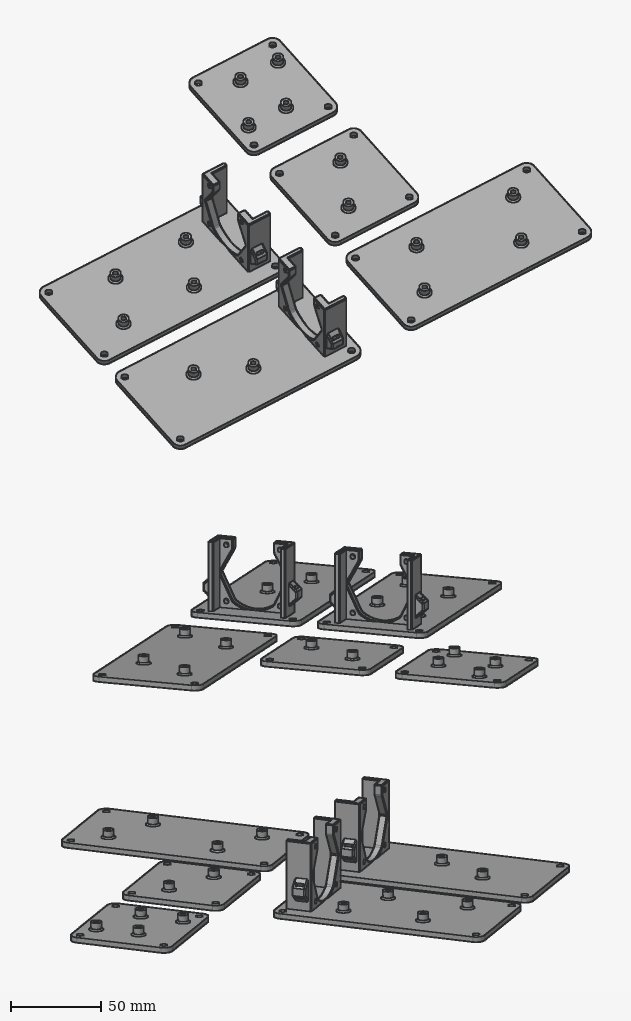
import cadquery as cq
import math

total_depth = 280.0
row_gap = 30.0
plate_width = 65.0
plate_thickness = 3.0
short_depth = 60.0
long_depth = (total_depth - row_gap) / 2
corner_radius = 5.0
mount_hole_inset = 5.0
mount_hole_diameter = 4.0

left_column_gap = 15.0
right_column_gap = 10.0
left_x = 0.0
middle_x = left_x + plate_width + left_column_gap
right_x = middle_x + plate_width + right_column_gap
front_y = 0.0
rear_y = long_depth + row_gap

boss_diameter = 6.0
boss_height = 4.5
flange_diameter = 8.0
flange_height = 0.8
screw_hole_diameter = 2.8
pair_long_spacing = 30.0
pair_short_spacing = pair_long_spacing / 2

bracket_width = 46.0
bracket_height = 40.0
bracket_depth = 15.0
bracket_rear_inset = 5.0
face_thickness = 5.0
wing_thickness = 3.0
cradle_radius = 20.0
cradle_floor = 0.15
mouth_width = 24.0
mouth_lip_height = 6.2
frame_chamfer = 0.5
foot_sink = 1.5
bracket_hole_diameter = 2.8
bracket_hole_spacing_x = 32.0
bracket_hole_inset_z = 4.0
position_tolerance = 0.003

knob_height = 12.0
knob_protrusion = 5.0
knob_root_length = 13.5
knob_tip_length = 4.5
knob_width = 8.0
knob_rear_inset = 5.3
knob_chamfer = 0.8
tunnel_width = 4.2
tunnel_thickness = 1.7
tunnel_inner_radius = 4.8
tunnel_center_offset = 2.0


def base_plate(depth):
    """Rounded plate with four corner holes, lower left corner at the origin."""
    plate = cq.Workplane("XY").box(plate_width, depth, plate_thickness, centered=False)
    plate = plate.edges("|Z").fillet(corner_radius)
    holes = (
        cq.Workplane("XY")
        .center(plate_width / 2, depth / 2)
        .rect(plate_width - 2 * mount_hole_inset, depth - 2 * mount_hole_inset, forConstruction=True)
        .vertices()
        .circle(mount_hole_diameter / 2)
        .extrude(plate_thickness)
    )
    return plate.cut(holes)


def add_bosses(plate, points):
    """Stand a flared boss on the plate at each point, with a hole through boss and plate."""
    full_height = plate_thickness + boss_height
    for x, y in points:
        base = cq.Vector(x, y, plate_thickness)
        flange = cq.Solid.makeCone(flange_diameter / 2, boss_diameter / 2, flange_height, base)
        post = cq.Solid.makeCylinder(boss_diameter / 2, boss_height, base)
        hole = cq.Solid.makeCylinder(screw_hole_diameter / 2, full_height, cq.Vector(x, y, 0))
        plate = plate.union(cq.Workplane(flange)).union(cq.Workplane(post)).cut(cq.Workplane(hole))
    return plate


def boss_pair(center_y, dx, dy):
    """Two bosses placed symmetrically about a point on the centre line of the plate."""
    middle = plate_width / 2
    return [(middle - dx, center_y - dy), (middle + dx, center_y + dy)]


def wide_pair(center_y):
    """Two bosses, wide across X, rear left to front right."""
    return boss_pair(center_y, pair_long_spacing / 2, -pair_short_spacing / 2)


def deep_pair(center_y):
    """Two bosses, long along Y, front left to rear right."""
    return boss_pair(center_y, pair_short_spacing / 2, pair_long_spacing / 2)


def cradle_opening():
    """Hexagon-like opening with a round floor, narrowing to a mouth open at the top."""
    waist_z = cradle_floor + cradle_radius
    floor_edge_x = mouth_width / 2
    floor_edge_z = waist_z - math.sqrt(cradle_radius**2 - floor_edge_x**2)
    lip_z = bracket_height - mouth_lip_height
    return (
        cq.Workplane("XZ")
        .moveTo(mouth_width / 2, bracket_height)
        .lineTo(mouth_width / 2, lip_z)
        .lineTo(cradle_radius, waist_z)
        .lineTo(floor_edge_x, floor_edge_z)
        .threePointArc((0, cradle_floor), (-floor_edge_x, floor_edge_z))
        .lineTo(-cradle_radius, waist_z)
        .lineTo(-mouth_width / 2, lip_z)
        .lineTo(-mouth_width / 2, bracket_height)
        .close()
        .extrude(-face_thickness)
    )


def bracket_frame():
    """U-shaped upright with the cradle cut in, its outward edges chamfered above the plate."""
    full_height = bracket_height + foot_sink
    pocket_width = bracket_width - 2 * wing_thickness
    frame = cq.Workplane("XY", origin=(0, 0, -foot_sink)).box(
        bracket_width, bracket_depth, full_height, centered=(True, False, False)
    )
    pocket = cq.Workplane("XY", origin=(0, face_thickness, -foot_sink)).box(
        pocket_width, bracket_depth, full_height, centered=(True, False, False)
    )
    frame = frame.cut(pocket).cut(cradle_opening())
    sharp_edges = []
    for edge in frame.edges().vals():
        middle = edge.Center()
        below_plate_top = middle.z < 0
        in_pocket_corner = (
            abs(middle.y - face_thickness) < position_tolerance
            and abs(abs(middle.x) - pocket_width / 2) < position_tolerance
        )
        if not below_plate_top and not in_pocket_corner:
            sharp_edges.append(edge)
    return frame.newObject(sharp_edges).chamfer(frame_chamfer)


def knob():
    """Loop on the plane X = 0 facing +X: sloped block with a curved strap tunnel through it."""
    block = (
        cq.Workplane("XZ")
        .moveTo(0, knob_height - knob_root_length / 2)
        .lineTo(knob_protrusion, knob_height - knob_tip_length / 2)
        .lineTo(knob_protrusion, knob_height + knob_tip_length / 2)
        .lineTo(0, knob_height + knob_root_length / 2)
        .close()
        .extrude(-knob_width)
    )
    block = block.faces("<Y or >Y").edges("not <X").chamfer(knob_chamfer)
    tunnel_x = knob_protrusion + tunnel_center_offset
    tunnel_y = (knob_width - tunnel_width) / 2
    tunnel = (
        cq.Workplane("XZ", origin=(tunnel_x, tunnel_y, knob_height))
        .circle(tunnel_inner_radius + tunnel_thickness)
        .circle(tunnel_inner_radius)
        .extrude(-tunnel_width)
    )
    return block.cut(tunnel)


def bracket():
    """Bracket with holes and knobs, centred in X, front face at Y = 0 and plate top at Z = 0."""
    holes = (
        cq.Workplane("XZ", origin=(0, 0, bracket_height / 2))
        .rect(bracket_hole_spacing_x, bracket_height - 2 * bracket_hole_inset_z, forConstruction=True)
        .vertices()
        .circle(bracket_hole_diameter / 2)
        .extrude(-face_thickness)
    )
    knob_y = bracket_depth - knob_rear_inset - knob_width
    right_knob = knob().translate((bracket_width / 2, knob_y, 0))
    return bracket_frame().cut(holes).union(right_knob).union(right_knob.mirror("YZ"))


def add_bracket(plate, depth):
    """Stand the bracket near the rear edge of the plate."""
    face_y = depth - bracket_rear_inset - bracket_depth
    return plate.union(bracket().translate((plate_width / 2, face_y, plate_thickness)))


row_offset = 12.5
short_middle = short_depth / 2
short_four_bosses = wide_pair(short_middle + row_offset) + wide_pair(short_middle - row_offset)
short_four_plate = add_bosses(base_plate(short_depth), short_four_bosses).translate((left_x, rear_y, 0))

short_two_plate = add_bosses(base_plate(short_depth), wide_pair(short_middle)).translate((middle_x, rear_y, 0))

long_row_offset = 32.5
long_middle = long_depth / 2
long_four_bosses = wide_pair(long_middle + long_row_offset) + wide_pair(long_middle - long_row_offset)
long_four_plate = add_bosses(base_plate(long_depth), long_four_bosses).translate((right_x, rear_y, 0))

front_row_y = 34.0
rear_row_y = 81.2
bracket_four_bosses = wide_pair(front_row_y) + wide_pair(rear_row_y)
bracket_four_plate = add_bosses(add_bracket(base_plate(long_depth), long_depth), bracket_four_bosses)
bracket_four_plate = bracket_four_plate.translate((middle_x, front_y, 0))

bracket_pair_y = 52.5
bracket_two_plate = add_bosses(add_bracket(base_plate(long_depth), long_depth), deep_pair(bracket_pair_y))
bracket_two_plate = bracket_two_plate.translate((right_x, front_y, 0))

result = cq.Compound.makeCompound([
    short_four_plate.val(),
    short_two_plate.val(),
    long_four_plate.val(),
    bracket_four_plate.val(),
    bracket_two_plate.val(),
])